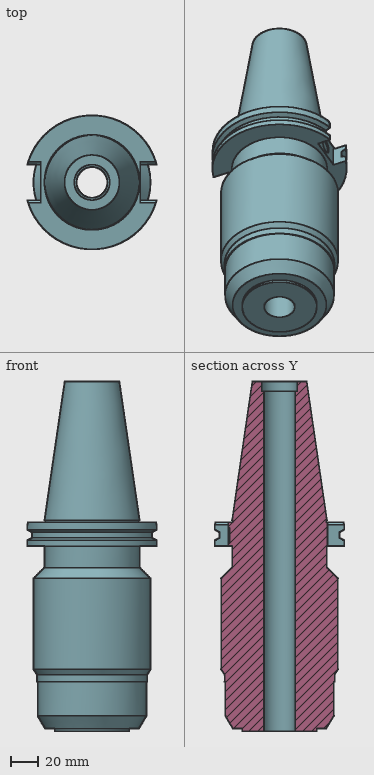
import cadquery as cq
import math

TOTAL_LENGTH = 256.4
TAPER_LENGTH = 101.6
GAUGE_Z = TOTAL_LENGTH - TAPER_LENGTH
GAUGE_TO_FLANGE_BOTTOM = 19.05
GAUGE_TO_FLANGE_TOP = 1.5
FLANGE_BOTTOM_Z = GAUGE_Z - GAUGE_TO_FLANGE_BOTTOM
FLANGE_TOP_Z = GAUGE_Z - GAUGE_TO_FLANGE_TOP

GAUGE_DIAMETER = 69.85
TAPER_RATIO = 7 / 24
GAUGE_RADIUS = GAUGE_DIAMETER / 2
TAPER_END_RADIUS = (GAUGE_DIAMETER - TAPER_LENGTH * TAPER_RATIO) / 2
RELIEF_RADIUS = 34.4

FLANGE_DIAMETER = 98.425
FLANGE_RADIUS = FLANGE_DIAMETER / 2
GROOVE_FLOOR_RADIUS = 46.0
GROOVE_FLOOR_WIDTH = 4.1
GROOVE_CENTER_HEIGHT = 8.1
GROOVE_CENTER_Z = FLANGE_BOTTOM_Z + GROOVE_CENTER_HEIGHT
GROOVE_SIDE_ANGLE = 30
GROOVE_SIDE_RISE = (FLANGE_RADIUS - GROOVE_FLOOR_RADIUS) * math.tan(math.radians(GROOVE_SIDE_ANGLE))

NECK_RADIUS = 35.0
BODY_RADIUS = 43.0
BODY_TOP_Z = 112.0
SHOULDER_HEIGHT = BODY_RADIUS - NECK_RADIUS
BODY_BOTTOM_Z = 45.4
BODY_CHAMFER_HEIGHT = 3.9

COLLAR_RADIUS = 40.5
COLLAR_BOTTOM_Z = 36.2
NUT_RADIUS = 40.0
NUT_CHAMFER_TOP_Z = 11.4
NUT_FACE_RADIUS = 34.4
NOSE_RADIUS = 27.4
NOSE_HEIGHT = 2.0

BORE_RADIUS = 11.2
COUNTERBORE_RADIUS = 13.0
COUNTERBORE_DEPTH = 7.0

SLOT_WIDTH = 25.9
SHALLOW_SLOT_FLOOR_X = -37.7
DEEP_SLOT_FLOOR_X = 35.3
SLOT_CHAMFER = 2.0
SLOT_HOLE_DIAMETER = 10.2
SLOT_HOLE_DEPTH = 1.0
SLOT_HOLE_Z = GROOVE_CENTER_Z


def make_body():
    """Revolve the outer outline about the Z axis."""
    groove_half = GROOVE_FLOOR_WIDTH / 2
    groove_mouth_half = groove_half + GROOVE_SIDE_RISE
    outline = [
        (0, 0),
        (NOSE_RADIUS, 0),
        (NOSE_RADIUS, NOSE_HEIGHT),
        (NUT_FACE_RADIUS, NOSE_HEIGHT),
        (NUT_RADIUS, NUT_CHAMFER_TOP_Z),
        (NUT_RADIUS, COLLAR_BOTTOM_Z),
        (COLLAR_RADIUS, COLLAR_BOTTOM_Z),
        (COLLAR_RADIUS, BODY_BOTTOM_Z - BODY_CHAMFER_HEIGHT),
        (BODY_RADIUS, BODY_BOTTOM_Z),
        (BODY_RADIUS, BODY_TOP_Z),
        (NECK_RADIUS, BODY_TOP_Z + SHOULDER_HEIGHT),
        (NECK_RADIUS, FLANGE_BOTTOM_Z),
        (FLANGE_RADIUS, FLANGE_BOTTOM_Z),
        (FLANGE_RADIUS, GROOVE_CENTER_Z - groove_mouth_half),
        (GROOVE_FLOOR_RADIUS, GROOVE_CENTER_Z - groove_half),
        (GROOVE_FLOOR_RADIUS, GROOVE_CENTER_Z + groove_half),
        (FLANGE_RADIUS, GROOVE_CENTER_Z + groove_mouth_half),
        (FLANGE_RADIUS, FLANGE_TOP_Z),
        (RELIEF_RADIUS, FLANGE_TOP_Z),
        (RELIEF_RADIUS, GAUGE_Z),
        (GAUGE_RADIUS, GAUGE_Z),
        (TAPER_END_RADIUS, TOTAL_LENGTH),
        (0, TOTAL_LENGTH),
    ]
    return cq.Workplane("XZ").polyline(outline).close().revolve(360, (0, 0), (0, 1))


def make_bore():
    """Through bore with a counterbore at the small end of the taper."""
    bore = cq.Workplane("XY").circle(BORE_RADIUS).extrude(TOTAL_LENGTH)
    counterbore = (
        cq.Workplane("XY", origin=(0, 0, TOTAL_LENGTH))
        .circle(COUNTERBORE_RADIUS)
        .extrude(-COUNTERBORE_DEPTH)
    )
    return bore.union(counterbore)


def make_slot_cutter(floor_x):
    """Drive slot with chamfered top edges, open outward from its floor at floor_x."""
    half = SLOT_WIDTH / 2
    wide = half + SLOT_CHAMFER
    section = [
        (-half, FLANGE_BOTTOM_Z),
        (half, FLANGE_BOTTOM_Z),
        (half, FLANGE_TOP_Z - SLOT_CHAMFER),
        (wide, FLANGE_TOP_Z),
        (-wide, FLANGE_TOP_Z),
        (-half, FLANGE_TOP_Z - SLOT_CHAMFER),
    ]
    outward_length = math.copysign(FLANGE_RADIUS, floor_x)
    floor = cq.Workplane("YZ", origin=(floor_x, 0, 0))
    return floor.polyline(section).close().extrude(outward_length)


def make_slot_hole():
    """Shallow round recess in the floor of the shallow slot."""
    return (
        cq.Workplane("YZ", origin=(SHALLOW_SLOT_FLOOR_X, 0, SLOT_HOLE_Z))
        .circle(SLOT_HOLE_DIAMETER / 2)
        .extrude(SLOT_HOLE_DEPTH)
    )


result = make_body().cut(make_bore())
for slot_floor_x in (SHALLOW_SLOT_FLOOR_X, DEEP_SLOT_FLOOR_X):
    result = result.cut(make_slot_cutter(slot_floor_x))
result = result.cut(make_slot_hole())